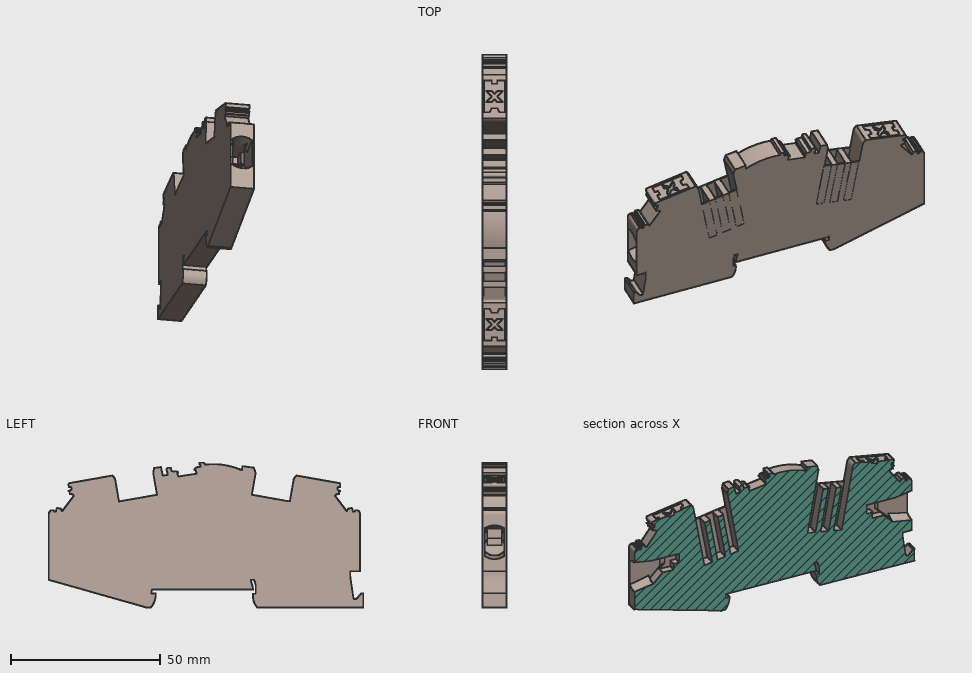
import cadquery as cq
import math

WIDTH = 8.1
HALF_LENGTH = 52.2
FOOT_REACH = 53.2
FOOT_TOP = 12.1
RAIL_Z = 6.0
CREST_TOP = 48.6
TILT = 10.0
SLOPE = math.tan(math.radians(TILT))

TRAY_INNER = (15.9, 37.8)
TRAY_OUTER_Y = 28.6
TRAY_OUTER = (TRAY_OUTER_Y, TRAY_INNER[1] - SLOPE * (TRAY_OUTER_Y - TRAY_INNER[0]))
TRAY_LENGTH = math.dist(TRAY_INNER, TRAY_OUTER)
SHAFT_LENGTH = 2.8
SHAFT_COUNT = 3
SHAFT_PITCH = (TRAY_LENGTH - SHAFT_LENGTH) / (SHAFT_COUNT - 1)
SHAFT_DEPTH = 16.3
SHAFT_WALL = 0.4

POST_SHOULDER = 45.1
POST_Y = TRAY_INNER[0] + SLOPE * (POST_SHOULDER - TRAY_INNER[1])
FLANK_TOP = 42.8
FLANK_Y = TRAY_OUTER[0] + SLOPE * (FLANK_TOP - TRAY_OUTER[1])

TOWER_INNER = (30.9, 44.3)
TOWER_OUTER_Y = 45.0
TOWER_OUTER = (TOWER_OUTER_Y, TOWER_INNER[1] - SLOPE * (TOWER_OUTER_Y - TOWER_INNER[0]))

MARKER_Y = 38.3
MARKER_LENGTH = 10.8
MARKER_WIDTH = 6.7
MARKER_DEPTH = 0.2
NOTCH_WIDTH = 1.9
NOTCH_MOUTH = 3.2
OUTER_NOTCH = 1.1
INNER_NOTCH = 1.4
CROSS_WIDTH = 5.6
CROSS_LENGTH = 3.8
CROSS_ARM = 1.8
CROSS_DEPTH = 0.8

ENTRY_Z = 21.9
ENTRY_RADIUS = 5.7
THROAT_RADIUS = 4.4
THROAT_DEPTH = 7.2
ENTRY_WIDTH = 6.6
RAMP_END_DEPTH = 12.6
TAPER_START_DEPTH = 11.2
SOCKET_WIDTH = 4.8
SOCKET_BOTTOM = 21.0
SOCKET_TOP = 26.5
SOCKET_STEP = 23.2
SOCKET_DEPTH = 14.8
SOCKET_UPPER_DEPTH = 16.9

OVERLAP = 4.2


def slab(outline):
    """Extrude a closed Y-Z outline over the full width."""
    return outline.close().extrude(WIDTH / 2, both=True)


def both_ends(shape):
    """A shape at the +Y end together with its mirror image at the -Y end."""
    return shape.union(shape.mirror("XZ"))


def shoulder():
    """Half of the upper body at the +Y end: tray, tower and latched end corner."""
    return slab(
        cq.Workplane("YZ")
        .moveTo(0, FOOT_TOP)
        .lineTo(0, TRAY_INNER[1])
        .lineTo(*TRAY_INNER)
        .lineTo(*TRAY_OUTER)
        .lineTo(FLANK_Y, FLANK_TOP)
        .threePointArc((30.2, 43.6), TOWER_INNER)
        .lineTo(*TOWER_OUTER)
        .threePointArc((45.4, 41.5), (45.5, 41.0))
        .lineTo(45.4, 40.3)
        .lineTo(44.8, 40.4)
        .lineTo(44.5, 39.9)
        .lineTo(44.7, 39.4)
        .lineTo(45.5, 39.1)
        .lineTo(45.1, 38.8)
        .lineTo(45.1, 38.0)
        .lineTo(44.5, 38.0)
        .lineTo(43.7, 37.5)
        .lineTo(47.6, 32.4)
        .lineTo(48.2, 33.2)
        .lineTo(49.2, 33.4)
        .lineTo(49.6, 33.0)
        .lineTo(49.7, 32.1)
        .lineTo(50.3, 32.1)
        .lineTo(50.5, 32.7)
        .lineTo(51.2, 32.7)
        .threePointArc((51.9, 32.1), (HALF_LENGTH, 31.2))
        .lineTo(HALF_LENGTH, FOOT_TOP)
    )


def crest():
    """Centre block: label clips on the +Y side and a domed top on the -Y side."""
    base = TRAY_INNER[1] - OVERLAP
    return slab(
        cq.Workplane("YZ")
        .moveTo(TRAY_INNER[0], base)
        .lineTo(*TRAY_INNER)
        .lineTo(POST_Y, POST_SHOULDER)
        .lineTo(16.9, 46.8)
        .lineTo(14.5, 47.1)
        .lineTo(13.9, 44.3)
        .lineTo(12.3, 44.5)
        .lineTo(12.8, 46.4)
        .threePointArc((12.0, 46.9), (11.2, 46.7))
        .lineTo(11.0, 45.7)
        .lineTo(10.2, 45.6)
        .lineTo(9.5, 45.7)
        .lineTo(8.7, 45.3)
        .lineTo(9.1, 44.9)
        .lineTo(8.7, 44.0)
        .lineTo(2.6, 44.9)
        .lineTo(3.0, 46.0)
        .lineTo(3.5, 46.2)
        .lineTo(2.8, 46.9)
        .lineTo(2.2, 47.1)
        .lineTo(1.5, 47.1)
        .lineTo(1.3, 47.7)
        .lineTo(1.7, 48.0)
        .lineTo(1.7, CREST_TOP)
        .lineTo(0.2, CREST_TOP)
        .lineTo(-0.3, 48.0)
        .threePointArc((-8.5, 47.4), (-12.5, 46.1))
        .lineTo(-12.6, 47.4)
        .lineTo(-16.5, 46.9)
        .lineTo(-POST_Y, POST_SHOULDER)
        .lineTo(-TRAY_INNER[0], TRAY_INNER[1])
        .lineTo(-TRAY_INNER[0], base)
    )


def base_body():
    """Lower body with the rail seat, the fixed foot (+Y) and the release foot (-Y)."""
    joint = FOOT_TOP + OVERLAP
    return slab(
        cq.Workplane("YZ")
        .moveTo(HALF_LENGTH, joint)
        .lineTo(HALF_LENGTH, 9.3)
        .lineTo(20.1, 0.2)
        .lineTo(19.5, 0)
        .lineTo(17.9, 0)
        .threePointArc((16.9, 1.7), (16.2, 4.4))
        .lineTo(16.3, 4.7)
        .lineTo(17.7, 4.7)
        .lineTo(17.6, RAIL_Z)
        .lineTo(-16.3, RAIL_Z)
        .lineTo(-16.1, 7.3)
        .lineTo(-15.5, 9.3)
        .lineTo(-16.7, 9.3)
        .lineTo(-17.2, 7.4)
        .lineTo(-17.2, 4.7)
        .lineTo(-16.2, 4.6)
        .threePointArc((-16.5, 1.9), (-17.7, 0))
        .lineTo(-FOOT_REACH, 0)
        .lineTo(-FOOT_REACH, 4.7)
        .lineTo(-52.5, 4.7)
        .lineTo(-51.1, 3.2)
        .threePointArc((-50.6, 2.8), (-50.0, 3.2))
        .lineTo(-49.1, 8.6)
        .threePointArc((-48.9, 10.3), (-48.9, FOOT_TOP))
        .lineTo(-HALF_LENGTH, FOOT_TOP)
        .lineTo(-HALF_LENGTH, joint)
    )


def sloped_plane(y, z):
    """Work plane tilted like the trays: local x runs along +X, local y down the slope."""
    tilt = math.radians(TILT)
    return cq.Workplane(
        cq.Plane(origin=(0, y, z), xDir=(1, 0, 0), normal=(0, math.sin(tilt), math.cos(tilt)))
    )


def tray_shafts():
    """Rectangular shafts square to the tray, the end ones flush with crest and tower."""
    tray = sloped_plane(*TRAY_OUTER)
    places = [(0, -SHAFT_LENGTH / 2 - i * SHAFT_PITCH) for i in range(SHAFT_COUNT)]
    return (
        tray.pushPoints(places)
        .rect(WIDTH - 2 * SHAFT_WALL, SHAFT_LENGTH)
        .extrude(-SHAFT_DEPTH)
    )


def marker_recess():
    """Shallow notched panel with a deeper X-shaped recess at its middle."""
    top = sloped_plane(MARKER_Y, TOWER_INNER[1] - SLOPE * (MARKER_Y - TOWER_INNER[0]))
    half_w = MARKER_WIDTH / 2
    half_l = MARKER_LENGTH / 2
    notch = NOTCH_WIDTH / 2
    mouth = NOTCH_MOUTH / 2
    recess = (
        top.polyline([
            (-half_w, -half_l), (-mouth, -half_l),
            (-notch, INNER_NOTCH - half_l), (notch, INNER_NOTCH - half_l),
            (mouth, -half_l), (half_w, -half_l),
            (half_w, half_l), (notch, half_l),
            (notch, half_l - OUTER_NOTCH), (-notch, half_l - OUTER_NOTCH),
            (-notch, half_l), (-half_w, half_l),
        ])
        .close()
        .extrude(-MARKER_DEPTH)
    )
    tip = CROSS_WIDTH / 2
    inside = tip - CROSS_ARM
    end = CROSS_LENGTH / 2
    for side in (1, -1):
        arm = (
            top.polyline([
                (-side * tip, end), (-side * inside, end),
                (side * tip, -end), (side * inside, -end),
            ])
            .close()
            .extrude(-CROSS_DEPTH)
        )
        recess = recess.union(arm)
    return recess


def end_box(width, bottom, top, depth):
    """Box reaching inward from the +Y end face."""
    return cq.Workplane("XY").box(width, depth, top - bottom).translate(
        (0, HALF_LENGTH - depth / 2, (bottom + top) / 2)
    )


def wire_entry():
    """Flat-sided conical mouth, ramp and stepped rectangular socket at the +Y end."""
    cone = cq.Workplane(cq.Solid.makeCone(
        ENTRY_RADIUS, THROAT_RADIUS, THROAT_DEPTH,
        cq.Vector(0, HALF_LENGTH, ENTRY_Z), cq.Vector(0, -1, 0),
    ))
    flats = end_box(ENTRY_WIDTH, ENTRY_Z - ENTRY_RADIUS, ENTRY_Z + ENTRY_RADIUS, THROAT_DEPTH)
    mouth = cone.intersect(flats)

    throat_y = HALF_LENGTH - THROAT_DEPTH
    ramp_end_y = HALF_LENGTH - RAMP_END_DEPTH
    ramp_bottom = ENTRY_Z - THROAT_RADIUS
    ramp_top = ramp_bottom + RAMP_END_DEPTH - THROAT_DEPTH
    above_ramp = slab(
        cq.Workplane("YZ")
        .moveTo(throat_y, ramp_bottom)
        .lineTo(ramp_end_y, ramp_top)
        .lineTo(ramp_end_y, SOCKET_TOP)
        .lineTo(throat_y, SOCKET_TOP)
    )
    taper_y = HALF_LENGTH - TAPER_START_DEPTH
    plan = (
        cq.Workplane("XY")
        .polyline([
            (-ENTRY_WIDTH / 2, throat_y), (-ENTRY_WIDTH / 2, taper_y),
            (-SOCKET_WIDTH / 2, ramp_end_y), (SOCKET_WIDTH / 2, ramp_end_y),
            (ENTRY_WIDTH / 2, taper_y), (ENTRY_WIDTH / 2, throat_y),
        ])
        .close()
        .extrude(CREST_TOP)
    )
    throat = above_ramp.intersect(plan)

    socket = end_box(SOCKET_WIDTH, SOCKET_BOTTOM, SOCKET_TOP, SOCKET_DEPTH)
    upper_socket = end_box(SOCKET_WIDTH, SOCKET_STEP, SOCKET_TOP, SOCKET_UPPER_DEPTH)
    return mouth.union(throat).union(socket).union(upper_socket)


body = both_ends(shoulder()).union(crest()).union(base_body())
body = body.cut(both_ends(tray_shafts()))
body = body.cut(both_ends(marker_recess()))
result = body.cut(both_ends(wire_entry()))